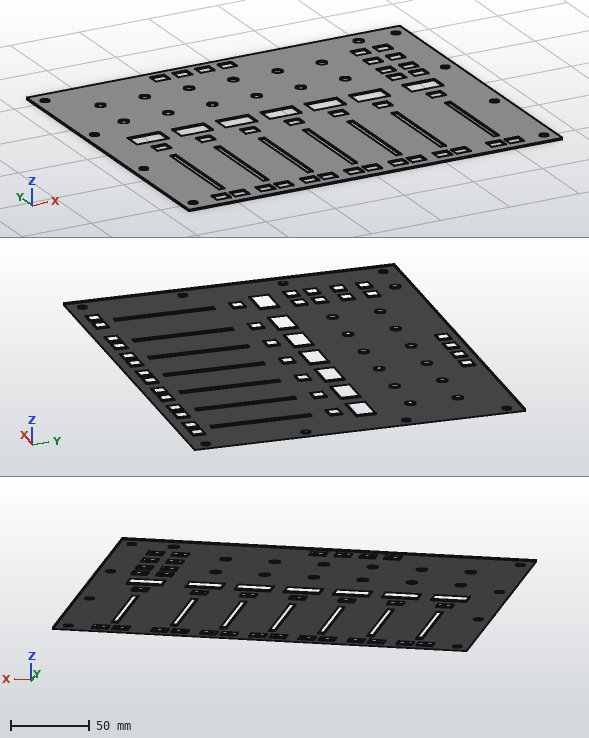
import cadquery as cq

panel_width = 270.0
panel_height = 222.5
panel_thickness = 1.2

screw_diameter = 6.0
screw_side_margin = 8.0
screw_end_margin = 10.0
screws_per_side = 4

channel_count = 6
channel_span = 160.0
channel_pitch = channel_span / (channel_count - 1)
channel_margin = 35.6
channel_columns = [channel_margin + i * channel_pitch for i in range(channel_count)]
master_column = panel_width - channel_margin
all_columns = channel_columns + [master_column]

knob_diameter = 7.0
upper_knob_y = 188.7
knob_rows = [upper_knob_y, upper_knob_y - channel_pitch]
master_knob_y = 211.5

display_width = 23.2
display_height = 13.2
display_y = 123.5
fader_width = 4.0
fader_length = 67.0
fader_y = 56.2

button_width = 10.3
button_height = 8.5
single_button_y = 105.3
pair_button_y = 11.0
pair_pitch = 13.2
top_button_count = 4
top_button_x = 91.5
top_button_y = 213.0
block_pitch = 16.2
master_button_rows = [193.3, 176.0, 158.2, 144.5]


def pair_of_columns(center, pitch):
    """X positions of two openings placed evenly about a center."""
    return [center - pitch / 2, center + pitch / 2]


def grid(columns, rows):
    """Every combination of the given X and Y positions."""
    return [(x, y) for x in columns for y in rows]


def cut_round(plate, diameter, points):
    """Cut round through holes at the points."""
    cutters = cq.Workplane("XY").pushPoints(points).circle(diameter / 2).extrude(panel_thickness)
    return plate.cut(cutters)


def cut_windows(plate, width, height, points):
    """Cut rectangular through openings centered at the points."""
    cutters = cq.Workplane("XY").pushPoints(points).rect(width, height).extrude(panel_thickness)
    return plate.cut(cutters)


panel = cq.Workplane("XY").box(panel_width, panel_height, panel_thickness, centered=False)

screw_pitch = (panel_height - 2 * screw_end_margin) / (screws_per_side - 1)
screw_columns = [screw_side_margin, panel_width - screw_side_margin]
screw_rows = [screw_end_margin + i * screw_pitch for i in range(screws_per_side)]
panel = cut_round(panel, screw_diameter, grid(screw_columns, screw_rows))

knob_points = grid(channel_columns, knob_rows) + [(master_column, master_knob_y)]
panel = cut_round(panel, knob_diameter, knob_points)

panel = cut_windows(panel, display_width, display_height, grid(all_columns, [display_y]))
panel = cut_windows(panel, fader_width, fader_length, grid(all_columns, [fader_y]))

button_points = grid(all_columns, [single_button_y])
for column in all_columns:
    button_points += grid(pair_of_columns(column, pair_pitch), [pair_button_y])
top_button_columns = [top_button_x + i * block_pitch for i in range(top_button_count)]
button_points += grid(top_button_columns, [top_button_y])
button_points += grid(pair_of_columns(master_column, block_pitch), master_button_rows)
panel = cut_windows(panel, button_width, button_height, button_points)

result = panel